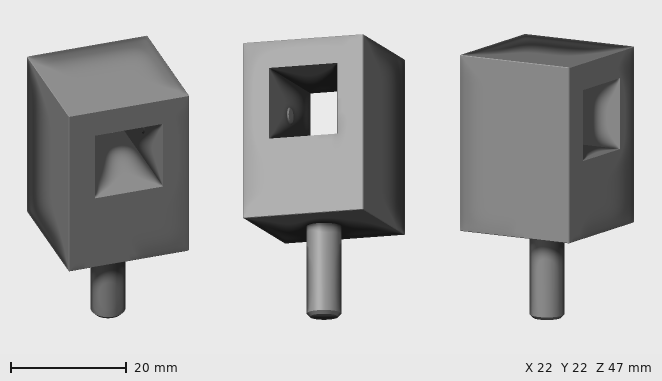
import cadquery as cq

total_height = 46.95
block_width = 22.0
block_height = 31.0
edge_chamfer = 0.105
window_size = 12.5
stud_diameter = 6.0
stud_chamfer = 0.55
button_base_diameter = 3.0
button_height = 0.25

stud_length = total_height - block_height
window_margin = (block_width - window_size) / 2
window_center_z = block_height - window_margin - window_size / 2
button_tip_diameter = button_base_diameter - 2 * button_height


def make_housing():
    """Square block with finely chamfered outer edges and a square window through it along X."""
    block = cq.Workplane("XY").box(block_width, block_width, block_height, centered=(True, True, False))
    block = block.edges().chamfer(edge_chamfer)
    window = (
        cq.Workplane("XY")
        .box(block_width, window_size, window_size)
        .translate((0, 0, window_center_z))
    )
    return block.cut(window)


def make_stud():
    """Round stud under the middle of the block, chamfered at its free end."""
    stud = cq.Workplane("XY").circle(stud_diameter / 2).extrude(-stud_length)
    return stud.faces("<Z").chamfer(stud_chamfer)


def make_button():
    """Low conical button standing on the +Y wall of the window, narrowing toward -Y at 45 degrees."""
    return (
        cq.Workplane("XZ", origin=(0, window_size / 2, window_center_z))
        .circle(button_base_diameter / 2)
        .workplane(offset=button_height)
        .circle(button_tip_diameter / 2)
        .loft(ruled=True)
    )


housing = make_housing()
stud = make_stud()
button = make_button()

result = cq.Compound.makeCompound([housing.val(), stud.val(), button.val()])